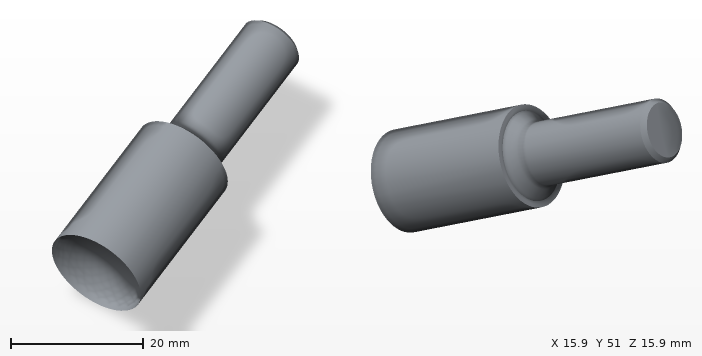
import cadquery as cq
import math

total_length = 51.0
body_diameter = 15.85
body_length = 25.0
shank_diameter = 9.9
shank_chamfer = 0.7
cone_base_diameter = 13.85
cone_angle = math.radians(45)
neck_fillet = 1.0
cup_arc_radius = 6.9

body_radius = body_diameter / 2
shank_radius = shank_diameter / 2
cone_base_radius = cone_base_diameter / 2
cone_length = (cone_base_radius - shank_radius) / math.tan(cone_angle)


def stepped_pin():
    """Body, cone with a rounded neck, and chamfered shank."""
    tangent_length = neck_fillet * math.tan(cone_angle / 2)
    neck_y = body_length + cone_length
    cone_tangent_x = tangent_length * math.sin(cone_angle)
    cone_tangent_y = tangent_length * math.cos(cone_angle)
    arc_center_radius = shank_radius + neck_fillet
    arc_mid = (
        arc_center_radius - neck_fillet * math.cos(cone_angle / 2),
        neck_y + tangent_length - neck_fillet * math.sin(cone_angle / 2),
    )
    return (
        cq.Workplane("XY")
        .lineTo(body_radius, 0)
        .lineTo(body_radius, body_length)
        .lineTo(cone_base_radius, body_length)
        .lineTo(shank_radius + cone_tangent_x, neck_y - cone_tangent_y)
        .threePointArc(arc_mid, (shank_radius, neck_y + tangent_length))
        .lineTo(shank_radius, total_length - shank_chamfer)
        .lineTo(shank_radius - shank_chamfer, total_length)
        .lineTo(0, total_length)
        .close()
        .revolve(360, (0, 0, 0), (0, 1, 0))
    )


def rounded_cup():
    """Bowl swept by an arc that leaves the rim parallel to the axis and ends on the axis.

    The arc is centered off the axis, so its far end forms a shallow peak on the bowl floor.
    """
    arc_center_x = body_radius - cup_arc_radius
    peak_y = math.sqrt(cup_arc_radius**2 - arc_center_x**2)
    mid_angle = math.radians(45)
    arc_mid = (
        arc_center_x + cup_arc_radius * math.cos(mid_angle),
        cup_arc_radius * math.sin(mid_angle),
    )
    return (
        cq.Workplane("XY")
        .lineTo(body_radius, 0)
        .threePointArc(arc_mid, (0, peak_y))
        .close()
        .revolve(360, (0, 0, 0), (0, 1, 0))
    )


result = stepped_pin().cut(rounded_cup())